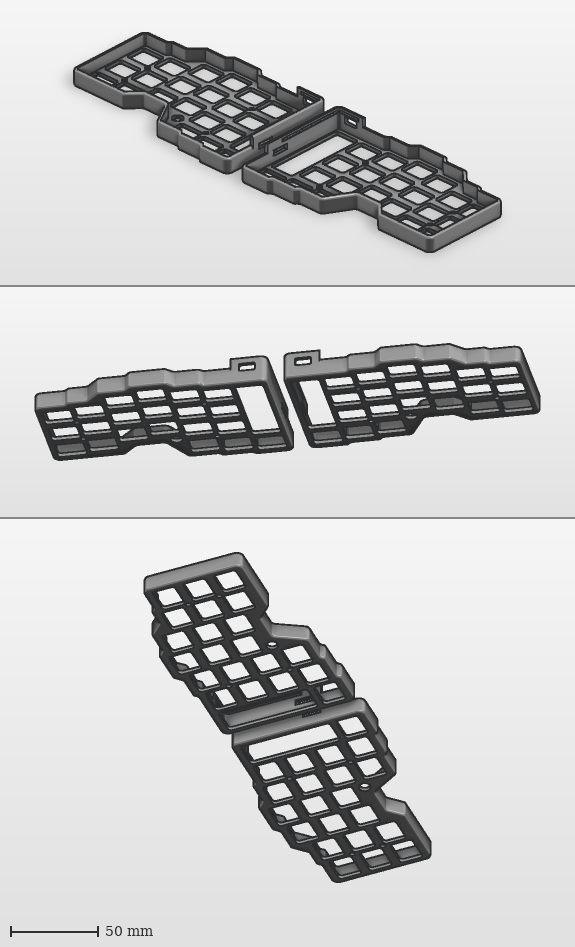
import cadquery as cq
import math

pitch = 19.0
key_hole_width = 17.0
key_hole_depth = 14.0
key_hole_radius = 2.0
margin_x = (pitch - key_hole_width) / 2
margin_y = (pitch - key_hole_depth) / 2

column_drops = [13.7, 11.4, 3.5, 0.0, 4.5, 6.8, 6.8]
column_rows = [3, 3, 3, 3, 4, 4]
thumb_key_drop = 2.1
plate_width = len(column_drops) * pitch
plate_height = column_drops[-1] + 4 * pitch + thumb_key_drop

overall_width = 284.3
wall = 2.25
wall_height = 10.85
plate_thickness = 2.5
inside_corner_radius = 2.25
end_corner_radius = 2.0
rim_radius = 1.6

notch_depth = 8.3
notch_angle = math.radians(60)
notch_outer_radius = 1.5
notch_inner_radius = 5.25

screw_diameter = 3.2
boss_hole_diameter = 7.0
boss_hole_x = 71.35
boss_hole_y = 23.45

tab_height = 17.0
tab_x = plate_width - pitch
bead_depth = 0.75
bead_z = 14.3
bead_half_height = 0.9
bead_gap_back = 3.0
bead_gap_side = 11.9

cut_clearance = 1.0
port_width = 9.4
port_x = plate_width - pitch / 2
port_bottom = 8.0
port_top = 12.6
port_radius = 1.0
slot_length = 11.0
slot_y = 29.55
slot_bottom = 7.0
slot_top = 10.5


def column_top(column):
    return plate_height - column_drops[column]


def column_bottom(column):
    return column_top(column) - column_rows[column] * pitch


bay_back = column_top(6)


def block(x0, x1, y0, y1, z0, z1):
    return cq.Workplane().box(x1 - x0, y1 - y0, z1 - z0, centered=False).translate((x0, y0, z0))


def rounded_outline(corners):
    """Closed outline through (x, y, radius) corners; radius 0 leaves a corner sharp."""
    path = None
    count = len(corners)
    for i, (x, y, radius) in enumerate(corners):
        if radius == 0:
            stops = [(x, y)]
        else:
            ahead = corners[(i + 1) % count]
            behind = corners[i - 1]
            a = cq.Vector(behind[0] - x, behind[1] - y).normalized()
            b = cq.Vector(ahead[0] - x, ahead[1] - y).normalized()
            half = a.getAngle(b) / 2
            corner = cq.Vector(x, y)
            run = radius / math.tan(half)
            middle = corner + (a + b).normalized() * (radius / math.sin(half) - radius)
            start = corner + a * run
            end = corner + b * run
            stops = [start.toTuple()[:2], middle.toTuple()[:2], end.toTuple()[:2]]
        path = cq.Workplane().moveTo(*stops[0]) if path is None else path.lineTo(*stops[0])
        if len(stops) == 3:
            path = path.threePointArc(stops[1], stops[2])
    return path.close()


def plate_corners():
    """Corners of the plate inside the wall, clockwise from the outer front corner."""
    edge = [pitch * i for i in range(len(column_drops) + 1)]
    top = [column_top(i) for i in range(len(column_drops))]
    notch_y = column_bottom(0) + notch_depth
    notch_run = (notch_y - column_bottom(4)) / math.tan(notch_angle)
    front_step = column_bottom(4) - column_bottom(5)

    def rise(column):
        """45 degree ramp up from one column to the next."""
        height = top[column + 1] - top[column]
        x = edge[column + 1]
        return [(x - height, top[column], 0), (x, top[column + 1], 0)]

    def fall(column):
        """45 degree ramp down from one column to the next."""
        height = top[column] - top[column + 1]
        x = edge[column + 1]
        return [(x, top[column], 0), (x + height, top[column + 1], 0)]

    return [
        (0, column_bottom(0), end_corner_radius),
        (0, top[0], end_corner_radius),
        *rise(0),
        *rise(1),
        *rise(2),
        *fall(3),
        *fall(4),
        (plate_width, top[6], end_corner_radius),
        (plate_width, 0, end_corner_radius),
        (edge[6], 0, 0),
        (edge[6] - thumb_key_drop, column_bottom(5), 0),
        (edge[5], column_bottom(5), 0),
        (edge[5] - front_step, column_bottom(4), 0),
        (edge[4], column_bottom(4), notch_outer_radius),
        (edge[4] - notch_run, notch_y, notch_inner_radius),
        (edge[2] + notch_depth, notch_y, 0),
        (edge[2], column_bottom(0), 0),
    ]


def shell(height):
    """Open tray; offsetting out and back in rounds the inside corners of the outline."""
    plate = rounded_outline(plate_corners())
    outer = plate.offset2D(wall + inside_corner_radius).offset2D(-inside_corner_radius).extrude(height)
    outer = outer.faces("<Z or >Z").edges().fillet(rim_radius)
    plate = rounded_outline(plate_corners())
    cavity = plate.offset2D(inside_corner_radius).offset2D(-inside_corner_radius).extrude(height)
    return outer.cut(cavity.translate((0, 0, plate_thickness)))


def raised_wall():
    """Taller stretch of the wall at the back and inner side of the controller bay."""
    zone = block(tab_x, plate_width + wall, pitch, bay_back + wall, plate_thickness, tab_height)
    return shell(tab_height).intersect(zone)


def key_holes():
    centers = []
    for column, rows in enumerate(column_rows):
        for row in range(rows):
            centers.append(((column + 0.5) * pitch, column_top(column) - (row + 0.5) * pitch))
    centers.append((plate_width - pitch / 2, pitch / 2))
    holes = cq.Workplane().pushPoints(centers).rect(key_hole_width, key_hole_depth)
    return holes.extrude(plate_thickness).edges("|Z").fillet(key_hole_radius)


def controller_window():
    window = block(
        tab_x + margin_x,
        plate_width - margin_x,
        pitch + margin_x,
        bay_back - margin_y,
        0,
        plate_thickness,
    )
    return window.edges("|Z").fillet(key_hole_radius)


def round_holes():
    """Screw holes between neighbouring columns, and one larger hole beside the notch."""
    centers = []
    for column, rows in ((0, (1, 2)), (4, (1, 3))):
        middle_top = (column_top(column) + column_top(column + 1)) / 2
        for row in rows:
            centers.append(((column + 1) * pitch, middle_top - row * pitch))
    screws = cq.Workplane().pushPoints(centers).circle(screw_diameter / 2).extrude(wall_height)
    boss = cq.Workplane().center(boss_hole_x, boss_hole_y).circle(boss_hole_diameter / 2)
    return screws.union(boss.extrude(wall_height))


def bead(length):
    """Triangular snap bead along +X, standing out toward -Y."""
    profile = [(0, -bead_half_height), (-bead_depth, 0), (0, bead_half_height)]
    return cq.Workplane("YZ").polyline(profile).close().extrude(length)


def back_bead():
    return bead(pitch - bead_gap_back).translate((tab_x + bead_gap_back, bay_back, bead_z))


def side_bead():
    along_side = bead(bay_back - pitch - bead_gap_side).rotate((0, 0, 0), (0, 0, 1), -90)
    return along_side.translate((plate_width, bay_back, bead_z))


def port():
    opening = block(
        port_x - port_width / 2,
        port_x + port_width / 2,
        bay_back - cut_clearance,
        bay_back + wall + cut_clearance,
        port_bottom,
        port_top,
    )
    return opening.edges("|Y").fillet(port_radius)


def side_slot():
    return block(
        plate_width - cut_clearance,
        plate_width + wall + cut_clearance,
        slot_y - slot_length / 2,
        slot_y + slot_length / 2,
        slot_bottom,
        slot_top,
    )


def left_case():
    case = shell(wall_height).union(raised_wall())
    case = case.cut(key_holes().union(controller_window()))
    case = case.cut(round_holes())
    case = case.union(back_bead()).union(side_bead())
    case = case.cut(port()).cut(side_slot())
    return case.translate((wall - overall_width / 2, -plate_height / 2, 0))


left = left_case()
right = left.mirror("YZ")

result = cq.Compound.makeCompound([left.val(), right.val()])